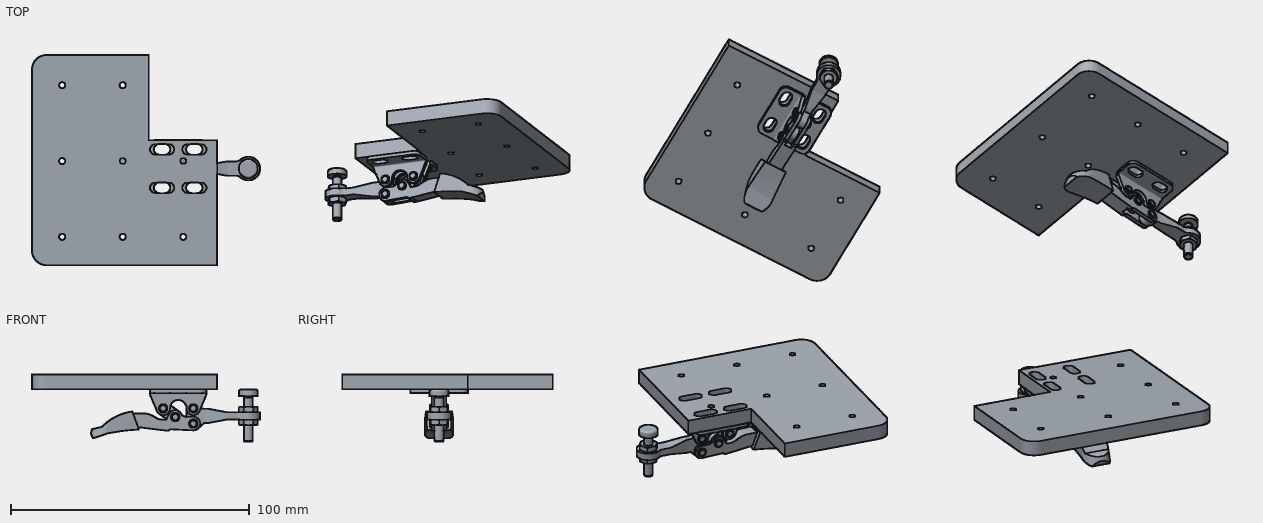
import cadquery as cq
import math


CUTTER_LENGTH = 57.4

PLATE_THICKNESS = 6.3
PLATE_LENGTH = 77.6
PLATE_WIDTH = 88.2
PLATE_FRONT = -40.6
PLATE_CORNER_RADIUS = 6.3
NOTCH_X = 49.0
NOTCH_Y = 12.0
PLATE_HOLE_RADIUS = 1.2
PLATE_HOLE_X = 12.7
PLATE_HOLE_Y = 12.0
PLATE_HOLE_PITCH_X = 25.4
PLATE_HOLE_PITCH_Y = 31.8
PLATE_HOLES_PER_ROW = (3, 3, 2)

CLAMP_X = 61.35
SLOT_PITCH_X = 13.5
SLOT_PITCH_Y = 16.1
SLOT_WIDTH = 4.4
PLATE_SLOT_LENGTH = 10.05
BASE_SLOT_LENGTH = 6.8

SHEET = 1.5
GAP = 3.1
INNER_Y = GAP / 2
OUTER_Y = INNER_Y + SHEET
EYE_RADIUS = 2.9

BASE_LENGTH = 23.8
BASE_WIDTH = 24.3
BASE_CORNER_RADIUS = 3.0
BEND_INNER_RADIUS = 0.6
BEND_OUTER_RADIUS = BEND_INNER_RADIUS + SHEET

BASE_PIVOT_PITCH = 12.6
BASE_PIVOT_Z = -7.9
LINK_PIVOT = (CLAMP_X - BASE_PIVOT_PITCH / 2, BASE_PIVOT_Z)
ARM_PIVOT = (CLAMP_X + BASE_PIVOT_PITCH / 2, BASE_PIVOT_Z)
HANDLE_LINK_PIVOT = (60.1, -11.6)
HANDLE_ARM_PIVOT = (ARM_PIVOT[0], -14.4)
RIVET_RADIUS = 1.3
RIVET_HEAD_RADIUS = 1.8
RIVET_HEAD_HEIGHT = 0.8
RIVET_CHAMFER = 0.5

GRIP_HALF_WIDTH = 5.9
GRIP_ROOT_HALF_WIDTH = 4.9
GRIP_TIP_LENGTH = 6.6
GRIP_BODY_LENGTH = 13.4
GRIP_AXIS = (32.6, -15.3)
GRIP_TILT = 18.4
FORK_START_X = 55.8

GRIP_ROOT_TOP = (42.1, -9.2)
GRIP_BACK = (34.6, -11.7)
GRIP_KNEE = (29.4, -15.7)
GRIP_TIP_TOP = (23.9, -16.8)
GRIP_TIP_BOTTOM = (25.65, -20.6)
GRIP_BELLY_START = (31.9, -18.5)
GRIP_BELLY = (37.4, -17.5)
GRIP_ROOT_BOTTOM = (44.9, -16.8)
SHANK_START_X = 40.2
SHANK_TOP = (46.9, -10.05)
SHANK_SLOPE = (50.9, -11.2)
SHANK_VALLEY = (54.8, -12.6)
SHANK_THROAT = (56.3, -12.6)
SHANK_EYE_START = 155
SHANK_EYE_END = 45
SHANK_SHOULDER = (63.55, -11.1)
SHANK_SHOULDER_END_X = 65.3
SHANK_STEP_TOP = (58.0, -16.75)
SHANK_STEP_BOTTOM = (57.2, -17.4)
SHANK_BELLY = (50.7, -16.7)
SHANK_BOTTOM = (44.7, -15.9)

ARM_SHOULDER = (70.7, -7.6)
ARM_Z = -11.1
ARM_BAR_HEIGHT = 6.1
ARM_FLAT_THICKNESS = 3.1
ARM_FLAT_HALF_WIDTH = 3.1
ARM_FLARE_START = 72.2
ARM_FLARE_END = 82.8
ARM_BEND_LENGTH = 1.7
ARM_TAPER_BEND_LENGTH = 0.8
ARM_EYE_RADIUS = 5.0
ARM_NECK_RADIUS = 2.9

SPINDLE_X = 90.7
SPINDLE_RADIUS = 1.9
SPINDLE_END_RADIUS = 1.6
SPINDLE_BOTTOM = -22.0
SPINDLE_END_LENGTH = 0.6
CAP_RADIUS = 4.0
CAP_TOP_RADIUS = 2.9
CAP_BOTTOM = -2.8
CAP_EDGE_HEIGHT = 0.9
NECK_LENGTH = 0.7
NUT_CORNER_DIAMETER = 8.0
NUT_HEIGHT = 2.3
NUT_CHAMFER_RADIUS = 3.5
NUT_CHAMFER_HEIGHT = 0.3


def tangent_point(point, centre, radius, side):
    """Where the line from `point` touches a circle; side = 1 is counterclockwise, -1 clockwise."""
    dx = point[0] - centre[0]
    dz = point[1] - centre[1]
    angle = math.atan2(dz, dx) + side * math.acos(radius / math.hypot(dx, dz))
    return on_circle(centre, radius, math.degrees(angle))


def on_circle(centre, radius, degrees):
    angle = math.radians(degrees)
    return (centre[0] + radius * math.cos(angle), centre[1] + radius * math.sin(angle))


def side_plane():
    """Plane of the clamp's middle, drawn in X and Z."""
    return cq.Workplane("XZ")


def pivot_rods(pivots, radius, half_length):
    return side_plane().pushPoints(pivots).circle(radius).extrude(half_length, both=True)


def rivets(pivots):
    """Rivets through the whole clamp, with a chamfered head at each end."""
    rods = pivot_rods(pivots, RIVET_RADIUS, OUTER_Y)
    head = (
        side_plane()
        .workplane(offset=OUTER_Y)
        .pushPoints(pivots)
        .circle(RIVET_HEAD_RADIUS)
        .extrude(RIVET_HEAD_HEIGHT)
        .faces("<Y")
        .chamfer(RIVET_CHAMFER)
    )
    return rods.union(head).union(head.mirror("XZ"))


def mounting_slots(length, bottom, height):
    return (
        cq.Workplane("XY", origin=(CLAMP_X, 0, bottom))
        .rarray(SLOT_PITCH_X, SLOT_PITCH_Y, 2, 2)
        .slot2D(length, SLOT_WIDTH)
        .extrude(height)
    )


def make_plate():
    rear = PLATE_FRONT + PLATE_WIDTH
    plate = (
        cq.Workplane("XY")
        .moveTo(0, PLATE_FRONT)
        .lineTo(PLATE_LENGTH, PLATE_FRONT)
        .lineTo(PLATE_LENGTH, NOTCH_Y)
        .lineTo(NOTCH_X, NOTCH_Y)
        .lineTo(NOTCH_X, rear)
        .lineTo(0, rear)
        .close()
        .extrude(PLATE_THICKNESS)
        .edges("|Z and <X")
        .fillet(PLATE_CORNER_RADIUS)
    )
    holes = [
        (PLATE_HOLE_X + column * PLATE_HOLE_PITCH_X, PLATE_FRONT + PLATE_HOLE_Y + row * PLATE_HOLE_PITCH_Y)
        for row, count in enumerate(PLATE_HOLES_PER_ROW)
        for column in range(count)
    ]
    drills = cq.Workplane("XY").pushPoints(holes).circle(PLATE_HOLE_RADIUS).extrude(PLATE_THICKNESS)
    return plate.cut(drills).cut(mounting_slots(PLATE_SLOT_LENGTH, 0, PLATE_THICKNESS))


def make_base_half():
    """Rear half of the base: a flange bent down into a wall with two rounded legs."""
    left = CLAMP_X - BASE_LENGTH / 2
    right = CLAMP_X + BASE_LENGTH / 2
    bend_y = INNER_Y + BEND_OUTER_RADIUS
    diagonal = math.sqrt(0.5)

    flange = (
        cq.Workplane("YZ", origin=(left, 0, 0))
        .moveTo(BASE_WIDTH / 2, 0)
        .lineTo(bend_y, 0)
        .threePointArc(
            (bend_y - BEND_OUTER_RADIUS * diagonal, BEND_OUTER_RADIUS * (diagonal - 1)),
            (INNER_Y, -BEND_OUTER_RADIUS),
        )
        .lineTo(OUTER_Y, -BEND_OUTER_RADIUS)
        .threePointArc(
            (bend_y - BEND_INNER_RADIUS * diagonal, BEND_INNER_RADIUS * diagonal - BEND_OUTER_RADIUS),
            (bend_y, -SHEET),
        )
        .lineTo(BASE_WIDTH / 2, -SHEET)
        .close()
        .extrude(BASE_LENGTH)
        .edges("|Z and >Y")
        .fillet(BASE_CORNER_RADIUS)
    )

    left_tangent = tangent_point((left, -BEND_OUTER_RADIUS), LINK_PIVOT, EYE_RADIUS, 1)
    right_tangent = tangent_point((right, -BEND_OUTER_RADIUS), ARM_PIVOT, EYE_RADIUS, -1)
    arch_radius = BASE_PIVOT_PITCH / 2 - EYE_RADIUS
    wall = (
        cq.Workplane("XZ", origin=(0, OUTER_Y, 0))
        .moveTo(left, -BEND_OUTER_RADIUS)
        .lineTo(*left_tangent)
        .threePointArc(on_circle(LINK_PIVOT, EYE_RADIUS, -80), on_circle(LINK_PIVOT, EYE_RADIUS, 0))
        .threePointArc((CLAMP_X, BASE_PIVOT_Z + arch_radius), on_circle(ARM_PIVOT, EYE_RADIUS, 180))
        .threePointArc(on_circle(ARM_PIVOT, EYE_RADIUS, -100), right_tangent)
        .lineTo(right, -BEND_OUTER_RADIUS)
        .close()
        .extrude(SHEET)
    )
    return flange.union(wall).cut(mounting_slots(BASE_SLOT_LENGTH, -SHEET, SHEET))


def make_base():
    """Two mirrored halves held together by the rivets of the link and of the arm."""
    half = make_base_half()
    return half.union(half.mirror("XZ")).union(rivets([LINK_PIVOT, ARM_PIVOT]))


def make_link():
    dx = HANDLE_LINK_PIVOT[0] - LINK_PIVOT[0]
    dz = HANDLE_LINK_PIVOT[1] - LINK_PIVOT[1]
    link = (
        side_plane()
        .center(LINK_PIVOT[0] + dx / 2, LINK_PIVOT[1] + dz / 2)
        .slot2D(math.hypot(dx, dz) + 2 * EYE_RADIUS, 2 * EYE_RADIUS, math.degrees(math.atan2(dz, dx)))
        .extrude(INNER_Y, both=True)
    )
    return link.cut(pivot_rods([LINK_PIVOT, HANDLE_LINK_PIVOT], RIVET_RADIUS, INNER_Y))


def make_shank():
    """Curved handle bar, forked around the link and the arm."""
    pivot = HANDLE_ARM_PIVOT
    shank = (
        side_plane()
        .moveTo(SHANK_START_X, SHANK_TOP[1])
        .lineTo(*SHANK_TOP)
        .spline([SHANK_SLOPE, SHANK_VALLEY], tangents=[(1, 0), (1, 0)], includeCurrent=True)
        .lineTo(*SHANK_THROAT)
        .lineTo(*on_circle(HANDLE_LINK_PIVOT, EYE_RADIUS, SHANK_EYE_START))
        .threePointArc(
            on_circle(HANDLE_LINK_PIVOT, EYE_RADIUS, (SHANK_EYE_START + SHANK_EYE_END) / 2),
            on_circle(HANDLE_LINK_PIVOT, EYE_RADIUS, SHANK_EYE_END),
        )
        .threePointArc(SHANK_SHOULDER, (SHANK_SHOULDER_END_X, pivot[1] + EYE_RADIUS))
        .lineTo(pivot[0], pivot[1] + EYE_RADIUS)
        .threePointArc(on_circle(pivot, EYE_RADIUS, 0), on_circle(pivot, EYE_RADIUS, -90))
        .lineTo(*SHANK_STEP_TOP)
        .lineTo(*SHANK_STEP_BOTTOM)
        .threePointArc(SHANK_BELLY, SHANK_BOTTOM)
        .lineTo(SHANK_START_X, SHANK_BOTTOM[1])
        .close()
        .extrude(OUTER_Y, both=True)
    )
    fork_length = pivot[0] + 2 * EYE_RADIUS - FORK_START_X
    fork = (
        cq.Workplane("XY")
        .box(fork_length, GAP, CUTTER_LENGTH)
        .translate((FORK_START_X + fork_length / 2, 0, 0))
    )
    return shank.cut(fork)


def make_grip():
    """Curved grip: a side profile trimmed by a slanted outline with a rounded tip."""
    profile = (
        side_plane()
        .moveTo(*GRIP_ROOT_TOP)
        .threePointArc(GRIP_BACK, GRIP_KNEE)
        .lineTo(*GRIP_TIP_TOP)
        .lineTo(*GRIP_TIP_BOTTOM)
        .lineTo(*GRIP_BELLY_START)
        .threePointArc(GRIP_BELLY, GRIP_ROOT_BOTTOM)
        .close()
        .extrude(2 * GRIP_HALF_WIDTH, both=True)
    )
    tilt = math.radians(GRIP_TILT)
    slanted = cq.Plane(
        origin=(GRIP_AXIS[0], 0, GRIP_AXIS[1]),
        xDir=(math.cos(tilt), 0, -math.sin(tilt)),
        normal=(math.sin(tilt), 0, math.cos(tilt)),
    )
    outline = (
        cq.Workplane(slanted)
        .moveTo(GRIP_BODY_LENGTH, -GRIP_ROOT_HALF_WIDTH)
        .lineTo(0, -GRIP_HALF_WIDTH)
        .threePointArc((-GRIP_TIP_LENGTH, 0), (0, GRIP_HALF_WIDTH))
        .lineTo(GRIP_BODY_LENGTH, GRIP_ROOT_HALF_WIDTH)
        .close()
        .extrude(CUTTER_LENGTH, both=True)
    )
    return profile.intersect(outline)


def make_handle():
    return make_grip().union(make_shank()).union(rivets([HANDLE_LINK_PIVOT, HANDLE_ARM_PIVOT]))


def arm_side_profile():
    bar_top = ARM_Z + ARM_BAR_HEIGHT / 2
    bar_bottom = ARM_Z - ARM_BAR_HEIGHT / 2
    flat_top = ARM_Z + ARM_FLAT_THICKNESS / 2
    flat_bottom = ARM_Z - ARM_FLAT_THICKNESS / 2
    end = SPINDLE_X + ARM_EYE_RADIUS
    heel = (ARM_FLARE_START, bar_bottom)
    taper_start = ARM_FLARE_START + ARM_BEND_LENGTH
    taper_end = ARM_FLARE_END - ARM_BEND_LENGTH / 2 - ARM_TAPER_BEND_LENGTH / 2
    taper_slope = (bar_top - flat_top) / (taper_end - taper_start + ARM_TAPER_BEND_LENGTH / 2)
    bend_rise = taper_slope * ARM_TAPER_BEND_LENGTH / 2
    bend_end = taper_end + ARM_TAPER_BEND_LENGTH
    return (
        side_plane()
        .moveTo(*on_circle(ARM_PIVOT, EYE_RADIUS, 180))
        .threePointArc(on_circle(ARM_PIVOT, EYE_RADIUS, 110), on_circle(ARM_PIVOT, EYE_RADIUS, 45))
        .threePointArc(ARM_SHOULDER, (ARM_FLARE_START, bar_top))
        .lineTo(taper_start, bar_top)
        .lineTo(taper_end, flat_top + bend_rise)
        .tangentArcPoint((bend_end, flat_top), relative=False)
        .lineTo(end, flat_top)
        .lineTo(end, flat_bottom)
        .lineTo(bend_end, flat_bottom)
        .tangentArcPoint((taper_end, flat_bottom - bend_rise), relative=False)
        .lineTo(taper_start, bar_bottom)
        .lineTo(*heel)
        .lineTo(*tangent_point(heel, HANDLE_ARM_PIVOT, EYE_RADIUS, -1))
        .threePointArc(
            on_circle(HANDLE_ARM_PIVOT, EYE_RADIUS, -110),
            on_circle(HANDLE_ARM_PIVOT, EYE_RADIUS, 180),
        )
        .close()
        .extrude(ARM_EYE_RADIUS, both=True)
    )


def arm_plan():
    """Outline from above: a thin bar flaring into a flat neck that ends in a round eye."""
    flare = (ARM_FLAT_HALF_WIDTH - INNER_Y) / (ARM_FLARE_END - ARM_FLARE_START - ARM_BEND_LENGTH)
    bend_rise = flare * ARM_BEND_LENGTH / 2
    neck_rise = ARM_FLAT_HALF_WIDTH + ARM_NECK_RADIUS
    neck_reach = ARM_EYE_RADIUS + ARM_NECK_RADIUS
    neck_centre = (SPINDLE_X - math.sqrt(neck_reach**2 - neck_rise**2), neck_rise)
    neck_angle = math.degrees(math.atan2(neck_rise, neck_centre[0] - SPINDLE_X))
    neck_end = on_circle((SPINDLE_X, 0), ARM_EYE_RADIUS, neck_angle)
    eye = cq.Workplane("XY").center(SPINDLE_X, 0).circle(ARM_EYE_RADIUS).extrude(SPINDLE_BOTTOM)
    bar = (
        cq.Workplane("XY")
        .moveTo(ARM_PIVOT[0] - EYE_RADIUS, 0)
        .lineTo(ARM_PIVOT[0] - EYE_RADIUS, INNER_Y)
        .lineTo(ARM_FLARE_START, INNER_Y)
        .tangentArcPoint((ARM_FLARE_START + ARM_BEND_LENGTH, INNER_Y + bend_rise), relative=False)
        .lineTo(ARM_FLARE_END - ARM_BEND_LENGTH, ARM_FLAT_HALF_WIDTH - bend_rise)
        .tangentArcPoint((ARM_FLARE_END, ARM_FLAT_HALF_WIDTH), relative=False)
        .lineTo(neck_centre[0], ARM_FLAT_HALF_WIDTH)
        .tangentArcPoint(neck_end, relative=False)
        .lineTo(neck_end[0], 0)
        .mirrorX()
        .extrude(SPINDLE_BOTTOM)
    )
    return bar.union(eye)


def make_arm():
    arm = arm_side_profile().intersect(arm_plan())
    arm = arm.cut(pivot_rods([ARM_PIVOT, HANDLE_ARM_PIVOT], RIVET_RADIUS, INNER_Y))
    return arm.cut(spindle_rod())


def spindle_rod():
    return (
        cq.Workplane("XY", origin=(SPINDLE_X, 0, SPINDLE_BOTTOM))
        .circle(SPINDLE_RADIUS)
        .extrude(-SPINDLE_BOTTOM)
    )


def make_spindle():
    """Threaded rod as a plain cylinder, with a domed pressure cap on top."""
    diagonal = math.sqrt(0.5)
    cap_edge_width = CAP_RADIUS - CAP_TOP_RADIUS
    neck_bottom = CAP_BOTTOM - NECK_LENGTH
    return (
        cq.Workplane("XZ", origin=(SPINDLE_X, 0, 0))
        .moveTo(0, 0)
        .lineTo(CAP_TOP_RADIUS, 0)
        .threePointArc(
            (CAP_TOP_RADIUS + cap_edge_width * diagonal, CAP_EDGE_HEIGHT * (diagonal - 1)),
            (CAP_RADIUS, -CAP_EDGE_HEIGHT),
        )
        .lineTo(CAP_RADIUS, CAP_BOTTOM)
        .lineTo(SPINDLE_END_RADIUS, CAP_BOTTOM)
        .lineTo(SPINDLE_END_RADIUS, neck_bottom)
        .lineTo(SPINDLE_RADIUS, neck_bottom)
        .lineTo(SPINDLE_RADIUS, SPINDLE_BOTTOM + SPINDLE_END_LENGTH)
        .lineTo(SPINDLE_END_RADIUS, SPINDLE_BOTTOM)
        .lineTo(0, SPINDLE_BOTTOM)
        .close()
        .revolve(360, (0, 0, 0), (0, 1, 0))
    )


def make_nut(bottom):
    """Hexagon nut with both ends chamfered by cones."""
    chamfer_width = NUT_CORNER_DIAMETER / 2 - NUT_CHAMFER_RADIUS
    nut = (
        cq.Workplane("XY", origin=(SPINDLE_X, 0, bottom))
        .polygon(6, NUT_CORNER_DIAMETER)
        .extrude(NUT_HEIGHT)
    )
    envelope = (
        cq.Workplane("XY", origin=(SPINDLE_X, 0, bottom))
        .circle(NUT_CORNER_DIAMETER / 2)
        .extrude(NUT_HEIGHT)
        .faces("<Z or >Z")
        .chamfer(NUT_CHAMFER_HEIGHT, chamfer_width)
    )
    return nut.intersect(envelope).cut(spindle_rod())


plate = make_plate()
base = make_base()
link = make_link()
handle = make_handle()
arm = make_arm()
spindle = make_spindle()
nut_bottoms = [
    ARM_Z + ARM_FLAT_THICKNESS / 2,
    ARM_Z - ARM_FLAT_THICKNESS / 2 - NUT_HEIGHT,
]
nuts = [make_nut(bottom) for bottom in nut_bottoms]

bodies = [plate, base, link, handle, arm, spindle, *nuts]
result = cq.Compound.makeCompound([body.val() for body in bodies])